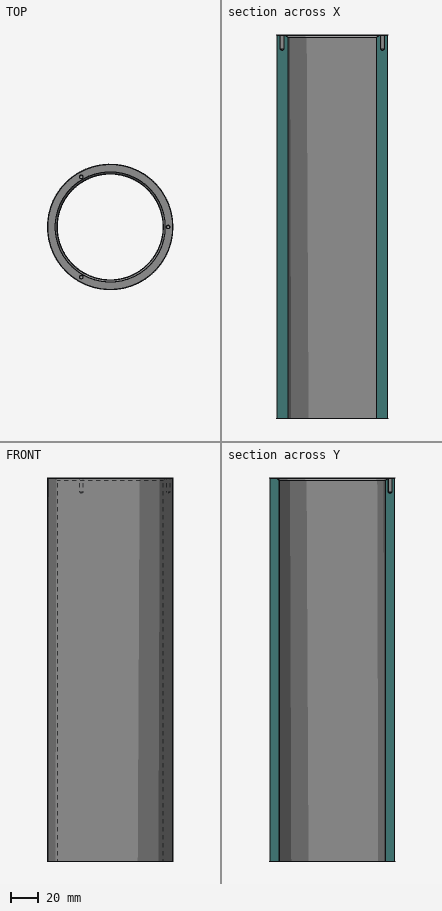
import math

import cadquery as cq

outer_diameter = 90.0
bore_diameter = 76.0
length = 275.0
bore_chamfer = 1.5

screw_hole_diameter = 2.53
screw_hole_depth = 10.0
drill_point_angle = 118.0
screw_hole_count = 3
screw_circle_radius = (outer_diameter + bore_diameter) / 4


def make_tube():
    """Straight tube standing on the XY plane, with its bore chamfered at the top."""
    tube = cq.Workplane("XY").circle(outer_diameter / 2).circle(bore_diameter / 2).extrude(length)
    bore_rim = tube.faces(">Z").edges(cq.selectors.RadiusNthSelector(0))
    return bore_rim.chamfer(bore_chamfer)


def make_screw_hole():
    """Drilled blind hole with a conical end, opening at the top end face on +X."""
    hole_radius = screw_hole_diameter / 2
    point_height = hole_radius / math.tan(math.radians(drill_point_angle / 2))
    half_profile = (
        cq.Workplane("XZ", origin=(screw_circle_radius, 0, length))
        .lineTo(hole_radius, 0)
        .lineTo(hole_radius, -screw_hole_depth)
        .lineTo(0, -screw_hole_depth - point_height)
        .close()
    )
    return half_profile.revolve(360, (0, 0), (0, 1))


result = make_tube()
for index in range(screw_hole_count):
    hole_angle = index * 360 / screw_hole_count
    result = result.cut(make_screw_hole().rotate((0, 0, 0), (0, 0, 1), hole_angle))